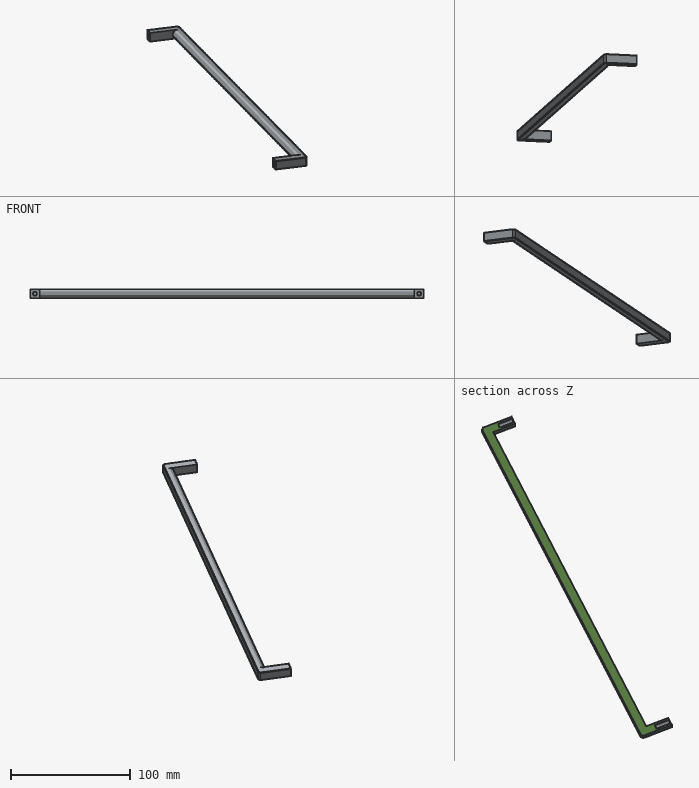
import cadquery as cq
import math

length = 329.0
depth = 28.0
thickness = 8.0

corner_chamfer = 1.5
edge_chamfer = 0.5
hole_diameter = 3.3
hole_depth = 13.0

bar_round = thickness / 2
back_y = depth / 2
bar_front_y = back_y - thickness
inner_length = length - 2 * thickness
hole_spacing = length - thickness


def bow_blank():
    """Square-section bow with chamfered corners and long outer edges."""
    block = cq.Workplane("XY").box(length, depth, thickness)
    block = block.edges("|Z and >Y").chamfer(corner_chamfer)
    outside_faces = block.faces("<Z or >Z").edges("not <Y")
    block = outside_faces.chamfer(edge_chamfer)
    opening_depth = depth - thickness
    opening = cq.Workplane("XY").box(inner_length, opening_depth, thickness)
    return block.cut(opening.translate((0, bar_front_y - opening_depth / 2, 0)))


def round_bar_front(body):
    """Round both inner edges of the bar so that they meet in a half-round."""
    half_thickness = thickness / 2
    arc_center_y = bar_front_y + bar_round
    arc_mid_y = arc_center_y - bar_round * math.sqrt(0.5)
    arc_mid_z = bar_round * math.sqrt(0.5)
    for side in (1, -1):
        corner = (
            cq.Workplane("YZ", origin=(-inner_length / 2, 0, 0))
            .moveTo(bar_front_y, 0)
            .threePointArc((arc_mid_y, side * arc_mid_z), (arc_center_y, side * half_thickness))
            .lineTo(bar_front_y, side * half_thickness)
            .close()
            .extrude(inner_length)
        )
        body = body.cut(corner)
    return body


def drill_legs(body):
    """Drill a blind mounting hole into the end of each leg."""
    holes = (
        cq.Workplane("XZ", origin=(0, -depth / 2, 0))
        .pushPoints([(-hole_spacing / 2, 0), (hole_spacing / 2, 0)])
        .circle(hole_diameter / 2)
        .extrude(-hole_depth)
    )
    return body.cut(holes)


result = drill_legs(round_bar_front(bow_blank()))